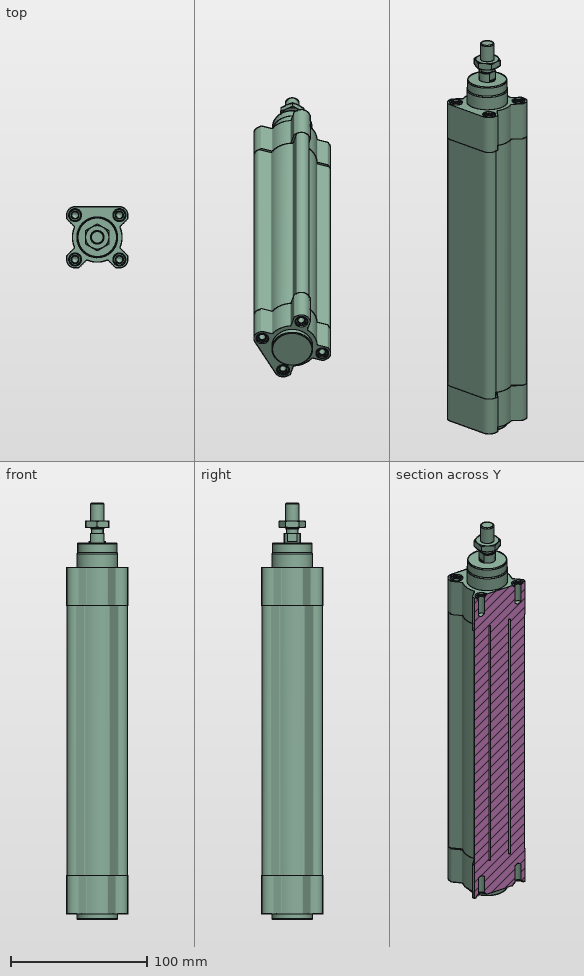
import cadquery as cq
import math

CAP_SIDE = 45.0
BARREL_INSET = 0.15
BARREL_SIDE = CAP_SIDE - 2 * BARREL_INSET
SCREW_PITCH = 32.5
CAP_BELLY_RADIUS = 18.3
BARREL_BELLY_RADIUS = CAP_BELLY_RADIUS - BARREL_INSET
GROOVED_SIDES = (-90, 0, 90)
LOBE_FILLET = 1.4
GROOVE_FILLET = 1.0
CAP_LOBE_EDGE = 13.66
BARREL_LOBE_EDGE = 15.6
BODY_LENGTH = 254.0
CAP_LENGTH = 28.0

REAR_SPIGOT_DIA = 30.0
REAR_SPIGOT_LENGTH = 4.1
REAR_SPIGOT_CHAMFER = 0.6
FRONT_SPIGOT_DIA = 30.0
FRONT_SPIGOT_LENGTH = 10.8
FRONT_SPIGOT_BEVEL_HEIGHT = 0.9
COLLAR_DIA = 29.0
COLLAR_TOP = 18.0
COLLAR_BEVEL_WIDTH = 0.4
COLLAR_BEVEL_HEIGHT = 0.9

MOUTH_DIA = 9.5
MOUTH_DEPTH = 0.65
COUNTERBORE_DIA = 8.2
COUNTERBORE_DEPTH = 1.2
SCREW_SOCKET_DIA = 6.0
SCREW_SOCKET_DEPTH = 2.0
THREAD_CORE_DIA = 4.92
SCREW_HOLE_DEPTH = 16.0
DRILL_POINT_ANGLE = 118.0

ROD_DIA = 12.0
ROD_SHOULDER = 25.0
ROD_CHAMFER = 0.3
ROD_DEPTH = CAP_LENGTH
FLATS_WIDTH = 10.0
FLATS_GAP = 0.8
FLATS_BOTTOM = COLLAR_TOP + FLATS_GAP
THREAD_DIA = 10.0
THREAD_LENGTH = 22.0
THREAD_CHAMFER = 0.7
NECK_DIA = 8.8
NECK_LENGTH = 3.0

NUT_FLATS = 17.0
HEXAGON_HALF_ANGLE = 30.0
NUT_HEIGHT = 5.0
NUT_GAP = 4.1
NUT_BOTTOM = ROD_SHOULDER + NUT_GAP
NUT_CHAMFER_ANGLE = 20.0


def profile(base, length, side, lobe_edge, belly_radius):
    """Body cross-section: flat on +Y, grooves and a round belly on the other three sides."""
    half = side / 2
    wall_offset = half - lobe_edge
    half_width = (math.sqrt(2 * belly_radius**2 - wall_offset**2) - wall_offset) / 2
    depth = half_width + wall_offset

    block = cq.Workplane("XY", origin=(0, 0, base)).rect(side, side).extrude(length)
    block = block.edges("|Z").fillet((side - SCREW_PITCH) / 2)
    recess = (
        cq.Workplane("XY", origin=(0, 0, base))
        .moveTo(-lobe_edge, -half)
        .lineTo(-half_width, -depth)
        .threePointArc((0, -belly_radius), (half_width, -depth))
        .lineTo(lobe_edge, -half)
        .close()
        .extrude(length)
    )
    for angle in GROOVED_SIDES:
        block = block.cut(recess.rotate((0, 0, 0), (0, 0, 1), angle))

    middle = base + length / 2
    for angle in GROOVED_SIDES:
        turn = math.radians(angle)
        for x, y, radius in (
            (-lobe_edge, -half, LOBE_FILLET),
            (lobe_edge, -half, LOBE_FILLET),
            (-half_width, -depth, GROOVE_FILLET),
            (half_width, -depth, GROOVE_FILLET),
        ):
            edge_x = x * math.cos(turn) - y * math.sin(turn)
            edge_y = x * math.sin(turn) + y * math.cos(turn)
            nearest = cq.selectors.NearestToPointSelector((edge_x, edge_y, middle))
            block = block.edges("|Z").edges(nearest).fillet(radius)
    return block


def disc(diameter, bottom, top):
    return cq.Workplane("XY", origin=(0, 0, bottom)).circle(diameter / 2).extrude(top - bottom)


def screw_hole():
    """Stepped blind hole with a drill point, sunk downwards from Z = 0."""
    core_radius = THREAD_CORE_DIA / 2
    point_depth = core_radius / math.tan(math.radians(DRILL_POINT_ANGLE / 2))
    return (
        cq.Workplane("XZ")
        .lineTo(MOUTH_DIA / 2, 0)
        .lineTo(COUNTERBORE_DIA / 2, -MOUTH_DEPTH)
        .lineTo(COUNTERBORE_DIA / 2, -COUNTERBORE_DEPTH)
        .lineTo(SCREW_SOCKET_DIA / 2, -COUNTERBORE_DEPTH)
        .lineTo(SCREW_SOCKET_DIA / 2, -SCREW_SOCKET_DEPTH)
        .lineTo(core_radius, -SCREW_SOCKET_DEPTH)
        .lineTo(core_radius, -SCREW_HOLE_DEPTH)
        .lineTo(0, -SCREW_HOLE_DEPTH - point_depth)
        .close()
        .revolve(360, (0, 0, 0), (0, 1, 0))
    )


def make_rod():
    """Rod with wrench flats, a relief neck and a threaded end shown as a plain cylinder."""
    rod = disc(ROD_DIA, -ROD_DEPTH, ROD_SHOULDER).faces(">Z").chamfer(ROD_CHAMFER)
    flats_length = ROD_SHOULDER - FLATS_BOTTOM
    for side in (-1, 1):
        cutter = (
            cq.Workplane("XY", origin=(side * (FLATS_WIDTH + ROD_DIA) / 2, 0, FLATS_BOTTOM))
            .rect(ROD_DIA, 2 * ROD_DIA)
            .extrude(flats_length)
        )
        rod = rod.cut(cutter)
    neck_top = ROD_SHOULDER + NECK_LENGTH
    neck = disc(NECK_DIA, ROD_SHOULDER, neck_top)
    thread = disc(THREAD_DIA, neck_top, ROD_SHOULDER + THREAD_LENGTH)
    thread = thread.faces(">Z or <Z").chamfer(THREAD_CHAMFER)
    return rod.union(neck).union(thread)


def make_housing(rod):
    cap_base = -BODY_LENGTH
    barrel_base = cap_base + CAP_LENGTH
    barrel_length = BODY_LENGTH - 2 * CAP_LENGTH
    housing = profile(barrel_base, barrel_length, BARREL_SIDE, BARREL_LOBE_EDGE, BARREL_BELLY_RADIUS)
    for base in (cap_base, -CAP_LENGTH):
        housing = housing.union(profile(base, CAP_LENGTH, CAP_SIDE, CAP_LOBE_EDGE, CAP_BELLY_RADIUS))

    rear_spigot = disc(REAR_SPIGOT_DIA, cap_base - REAR_SPIGOT_LENGTH, cap_base)
    housing = housing.union(rear_spigot.faces("<Z").chamfer(REAR_SPIGOT_CHAMFER))
    front_spigot = (
        cq.Workplane("XZ")
        .lineTo(FRONT_SPIGOT_DIA / 2, 0)
        .lineTo(FRONT_SPIGOT_DIA / 2, FRONT_SPIGOT_LENGTH - FRONT_SPIGOT_BEVEL_HEIGHT)
        .lineTo(COLLAR_DIA / 2, FRONT_SPIGOT_LENGTH)
        .lineTo(COLLAR_DIA / 2, COLLAR_TOP - COLLAR_BEVEL_HEIGHT)
        .lineTo(COLLAR_DIA / 2 - COLLAR_BEVEL_WIDTH, COLLAR_TOP)
        .lineTo(0, COLLAR_TOP)
        .close()
        .revolve(360, (0, 0, 0), (0, 1, 0))
    )
    housing = housing.union(front_spigot)

    front_hole = screw_hole()
    rear_hole = front_hole.mirror("XY").translate((0, 0, -BODY_LENGTH))
    for x in (-SCREW_PITCH / 2, SCREW_PITCH / 2):
        for y in (-SCREW_PITCH / 2, SCREW_PITCH / 2):
            housing = housing.cut(front_hole.translate((x, y, 0)))
            housing = housing.cut(rear_hole.translate((x, y, 0)))
    return housing.cut(rod)


def make_nut():
    """Hexagon nut with its corners along Y and both ends bevelled to the flats."""
    corner_dia = NUT_FLATS / math.cos(math.radians(HEXAGON_HALF_ANGLE))
    bevel_width = (corner_dia - NUT_FLATS) / 2
    bevel_height = bevel_width * math.tan(math.radians(NUT_CHAMFER_ANGLE))
    nut_top = NUT_BOTTOM + NUT_HEIGHT
    hexagon = (
        cq.Workplane("XY", origin=(0, 0, NUT_BOTTOM))
        .polygon(6, corner_dia)
        .extrude(NUT_HEIGHT)
        .rotate((0, 0, 0), (0, 0, 1), 90)
    )
    bevel = disc(corner_dia, NUT_BOTTOM, nut_top).faces("<Z or >Z").chamfer(bevel_height, bevel_width)
    return hexagon.intersect(bevel).cut(disc(THREAD_DIA, NUT_BOTTOM, nut_top))


rod = make_rod()
housing = make_housing(rod)
nut = make_nut()

result = cq.Compound.makeCompound([housing.val(), rod.val(), nut.val()])